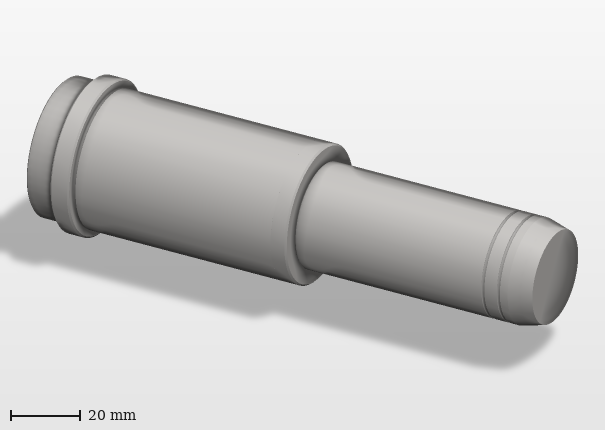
import cadquery as cq
import math

total_length = 160.0
collar_start = 9.0
collar_end = 15.0
land_start = 79.0
body_end = 84.0
pin_groove_centers = (145.0, 150.0)
taper_start = 153.0

body_diameter = 42.0
land_diameter = 41.99
collar_diameter = 47.0
pin_diameter = 32.0

edge_chamfer = 0.5

groove_width = 1.0

tip_half_angle = 15.0

body_radius = body_diameter / 2
land_radius = land_diameter / 2
collar_radius = collar_diameter / 2
pin_radius = pin_diameter / 2
groove_radius = groove_width / 2
tip_radius = pin_radius - (total_length - taper_start) * math.tan(math.radians(tip_half_angle))


def add_start_chamfer(profile, start, radius):
    """Go out to a step of the given radius and over its leading chamfer."""
    return profile.lineTo(start, radius - edge_chamfer).lineTo(start + edge_chamfer, radius)


def add_end_chamfer(profile, end, radius):
    """Run along a step of the given radius and down its trailing chamfer."""
    return profile.lineTo(end - edge_chamfer, radius).lineTo(end, radius - edge_chamfer)


def add_groove(profile, center, radius):
    """Run along a cylinder of the given radius and through a semicircular groove."""
    profile = profile.lineTo(center - groove_radius, radius)
    return profile.threePointArc((center, radius - groove_radius), (center + groove_radius, radius))


def add_head(profile):
    """Chamfered head with a groove against the front of the collar."""
    profile = add_start_chamfer(profile, 0, body_radius)
    return add_groove(profile, collar_start - groove_radius, body_radius)


def add_collar(profile):
    """Locating collar, chamfered on both rims."""
    profile = add_start_chamfer(profile, collar_start, collar_radius)
    return add_end_chamfer(profile, collar_end, collar_radius)


def add_body(profile):
    """Body with a groove behind the collar and a slightly smaller land at its end."""
    profile = add_groove(profile, collar_end + groove_radius, body_radius)
    profile = profile.lineTo(land_start, body_radius).lineTo(land_start, land_radius)
    return add_end_chamfer(profile, body_end, land_radius)


def add_pin(profile):
    """Pin with a chamfer at its root, two grooves and a tapered tip."""
    profile = add_start_chamfer(profile, body_end, pin_radius)
    for center in pin_groove_centers:
        profile = add_groove(profile, center, pin_radius)
    return profile.lineTo(taper_start, pin_radius).lineTo(total_length, tip_radius)


half_profile = cq.Workplane("XZ").moveTo(0, 0)
for add_section in (add_head, add_collar, add_body, add_pin):
    half_profile = add_section(half_profile)
half_profile = half_profile.lineTo(total_length, 0).close()

result = half_profile.revolve(360, (0, 0, 0), (1, 0, 0))